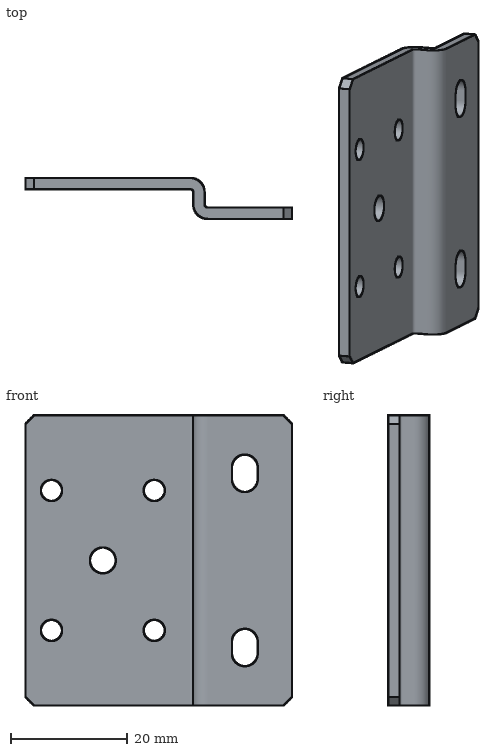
import cadquery as cq

width = 46.0
depth = 7.1
height = 50.05

thickness = 2.0
inner_radius = 0.5
outer_radius = inner_radius + thickness
web_left = 28.9
web_right = web_left + thickness
corner_chamfer = 1.5

small_hole_diameter = 3.6
center_hole_diameter = 4.4
center_hole_x = 13.35
small_hole_pitch_x = 17.7
small_hole_pitch_z = 24.1
slot_width = 4.4
slot_length = 6.4
slot_x = 37.85
slot_pitch_z = 30.0


def bent_sheet():
    """Z-shaped profile in XY, extruded symmetrically along Z."""
    profile = (
        cq.Workplane("XY")
        .moveTo(0, depth)
        .lineTo(0, depth - thickness)
        .lineTo(web_left, depth - thickness)
        .lineTo(web_left, 0)
        .lineTo(width, 0)
        .lineTo(width, thickness)
        .lineTo(web_right, thickness)
        .lineTo(web_right, depth)
        .close()
        .extrude(height / 2, both=True)
    )
    bends = (
        (web_left, depth - thickness, inner_radius),
        (web_left, 0, outer_radius),
        (web_right, thickness, inner_radius),
        (web_right, depth, outer_radius),
    )
    for x, y, radius in bends:
        bend_edge = cq.selectors.NearestToPointSelector((x, y, 0))
        profile = profile.edges("|Z").edges(bend_edge).fillet(radius)
    return profile


def hole_plane(x):
    """Workplane facing -Y in front of the part, centred at x and mid-height."""
    return cq.Workplane("XZ", origin=(x, 0, 0))


def holes():
    """Cutters for the round holes and the upright slots."""
    small = (
        hole_plane(center_hole_x)
        .rect(small_hole_pitch_x, small_hole_pitch_z, forConstruction=True)
        .vertices()
        .circle(small_hole_diameter / 2)
        .extrude(-depth)
    )
    center = hole_plane(center_hole_x).circle(center_hole_diameter / 2).extrude(-depth)
    slots = (
        hole_plane(slot_x)
        .rarray(0.5, slot_pitch_z, 1, 2)
        .slot2D(slot_length, slot_width, 90)
        .extrude(-depth)
    )
    return small.union(center).union(slots)


bracket = bent_sheet().edges("|Y").edges("<X or >X").chamfer(corner_chamfer)
result = bracket.cut(holes()).translate((-width / 2, -depth / 2, 0))